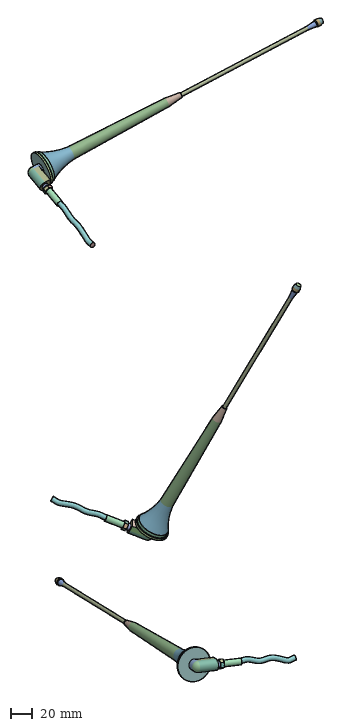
import cadquery as cq

pad_radius = 16.5
pad_top = 2.3
rim_radius = 15.3
rim_top = 5.2
flare_start_radius = 15.0
flare_mid_radius = 10.0
flare_mid_y = 16.2
flare_top = 32.8

mast_bottom_radius = 6.5
mast_top_radius = 4.5
mast_top = 139.0
nipple_top_radius = 2.5
nipple_top = 155.0
rod_radius = 2.0
rod_top = 295.0
tip_cone_radius = 3.0
tip_cone_top = 304.0
collar_radius = 3.5
collar_chamfer_top = 305.0
collar_top = 308.0
tip_end_radius = 2.5
overall_length = 324.7

barrel_radius = 5.5
barrel_axis_y = -7.8
barrel_flat_y = -2.0
corner_room = 32.5
barrel_end = 18.5
neck_radius = 3.2
nut_start = 21.5
nut_end = 25.3
nut_across_flats = 8.0
sleeve_radius = 3.2
sleeve_end = 43.2

cable_radius = 2.5
cable_bends = [(48.7, 1.3), (63.0, -1.5), (73.7, 0.0), (91.2, -4.5)]
cable_start_z = 0.5
cable_end_x = 98.5
cable_end_z = -2.5

tip_end = overall_length + barrel_axis_y - barrel_radius


def make_antenna():
    """Base, tapered mast, rod and tip turned as one piece around Y."""
    return (
        cq.Workplane("XY")
        .lineTo(pad_radius, 0)
        .lineTo(pad_radius, pad_top)
        .lineTo(rim_radius, pad_top)
        .lineTo(rim_radius, rim_top)
        .lineTo(flare_start_radius, rim_top)
        .threePointArc((flare_mid_radius, flare_mid_y), (mast_bottom_radius, flare_top))
        .lineTo(mast_top_radius, mast_top)
        .lineTo(nipple_top_radius, nipple_top)
        .lineTo(rod_radius, nipple_top)
        .lineTo(rod_radius, rod_top)
        .lineTo(tip_cone_radius, tip_cone_top)
        .lineTo(collar_radius, collar_chamfer_top)
        .lineTo(collar_radius, collar_top)
        .lineTo(tip_end_radius, tip_end)
        .lineTo(0, tip_end)
        .close()
        .revolve(360, (0, 0, 0), (0, 1, 0))
    )


def section_plane(x):
    """Workplane across the barrel axis at the given X."""
    return cq.Workplane("YZ", origin=(x, barrel_axis_y, 0))


def make_elbow():
    """Round stub turning into a U-section barrel, with a domed outer corner."""
    stub = cq.Workplane("XZ").circle(barrel_radius).extrude(-barrel_flat_y)
    corner = (
        cq.Workplane("XY", origin=(0, barrel_axis_y, 0))
        .moveTo(0, -barrel_radius)
        .radiusArc((-barrel_radius, 0), barrel_radius)
        .lineTo(-barrel_radius, barrel_flat_y - barrel_axis_y)
        .lineTo(0, barrel_flat_y - barrel_axis_y)
        .close()
        .revolve(360, (0, 0, 0), (0, 1, 0))
    )
    outer_half = cq.Workplane("XY").box(
        corner_room, corner_room, corner_room, centered=(False, True, True)
    ).translate((-corner_room, 0, 0))
    barrel = (
        section_plane(0)
        .moveTo(barrel_flat_y - barrel_axis_y, -barrel_radius)
        .lineTo(0, -barrel_radius)
        .threePointArc((-barrel_radius, 0), (0, barrel_radius))
        .lineTo(barrel_flat_y - barrel_axis_y, barrel_radius)
        .close()
        .extrude(barrel_end)
    )
    return barrel.union(corner.intersect(outer_half)).union(stub)


def make_connector():
    """Elbow with its hexagonal nut and cable sleeve."""
    neck = section_plane(barrel_end).circle(neck_radius).extrude(nut_start - barrel_end)
    nut = (
        section_plane(nut_start)
        .polygon(6, nut_across_flats, circumscribed=True)
        .extrude(nut_end - nut_start)
    )
    sleeve = section_plane(nut_end).circle(sleeve_radius).extrude(sleeve_end - nut_end)
    return make_elbow().union(neck).union(nut).union(sleeve)


def make_cable():
    """Round cable swept along a wavy curve from the end of the sleeve."""
    path_points = [(sleeve_end, cable_start_z), *cable_bends, (cable_end_x, cable_end_z)]
    path = cq.Workplane("XY").spline(
        [cq.Vector(x, barrel_axis_y, z) for x, z in path_points],
        tangents=[cq.Vector(1, 0, 0), cq.Vector(1, 0, 0.3)],
    )
    start = section_plane(sleeve_end).center(0, cable_start_z)
    return start.circle(cable_radius).sweep(path)


antenna = make_antenna()
connector = make_connector()
cable = make_cable()

result = cq.Compound.makeCompound([antenna.val(), connector.val(), cable.val()])